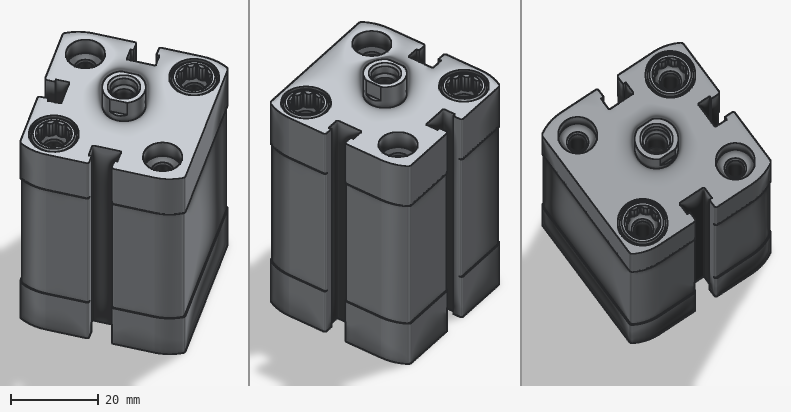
import cadquery as cq
import math

TOTAL_HEIGHT = 65.3
ROD_STICK_OUT = 6.2
HOUSING_HEIGHT = TOTAL_HEIGHT - ROD_STICK_OUT
CAP_WIDTH = 39.5
CAP_HALF_WIDTH = CAP_WIDTH / 2
CAP_HEIGHT = 12.0
BARREL_INSET = 0.25

SCREW_OFFSET = 13.0
CAP_ARC_RADIUS = 25.0 / 2
EDGE_RADIUS = 1.0

SLOT_MOUTH_WIDTH = 5.4
SLOT_INNER_WIDTH = 6.9
SLOT_LIP_DEPTH = 2.5
SLOT_DEPTH = 5.75
SLOT_MOUTH_RADIUS = 0.5
SLOT_FLOOR_RADIUS = 0.3
SLOT_ANGLES = (0, 90, 180)

CORNER_SIGNS = ((1, 1), (-1, 1), (-1, -1), (1, -1))
SCREW_HOLE_DIAMETER = 4.1
SCREW_HOLE_RIM_DIAMETER = 5.0
COUNTERBORE_DIAMETER = 9.0
COUNTERBORE_DEPTH = 4.6

HEAD_POCKET_DIAMETER = 11.5
HEAD_DIAMETER = 10.5
HEAD_TOP_DIAMETER = 9.6
HEAD_GROOVE_DEPTH = 1.0
SOCKET_RIM_DIAMETER = 8.35
SOCKET_CREST_DIAMETER = 7.3
SOCKET_ROOT_DIAMETER = 8.1
SOCKET_TEETH = 10
SOCKET_DEPTH = 4.6
TOOTH_CREST_SHARE = 0.35
TOOTH_ROOT_SHARE = 0.15
TOOTH_START_ANGLE = 45.0

ROD_DIAMETER = 10.0
ROD_INSERTION = CAP_HEIGHT
FLAT_HALF_WIDTH = 9.1 / 2
FLAT_HEIGHT = 4.05
ROD_BORE_RIM_DIAMETER = 7.5
ROD_BORE_DIAMETER = 6.4
ROD_BORE_DEPTH = 2.7
ROD_DRILL_DIAMETER = 5.0
ROD_DRILL_DEPTH = 12.0
DRILL_POINT_ANGLE = 118.0


def cone_frustum(bottom_diameter, top_diameter, top_z):
    """45 degree frustum on the Z axis that ends at top_z."""
    height = abs(top_diameter - bottom_diameter) / 2
    cone = cq.Workplane("XY", origin=(0, 0, top_z - height)).circle(bottom_diameter / 2)
    return cone.workplane(offset=height).circle(top_diameter / 2).loft(ruled=True)


def cylinder(diameter, bottom_z, top_z):
    """Cylinder on the Z axis between two heights."""
    return cq.Workplane("XY", origin=(0, 0, bottom_z)).circle(diameter / 2).extrude(top_z - bottom_z)


def prism(inset, bottom_z, height):
    """Block with flat sides and four large corner arcs, every side moved in by inset."""
    half = CAP_HALF_WIDTH - inset
    radius = CAP_ARC_RADIUS - inset
    arc_center_y = half - radius
    end_angle = math.acos((half - SCREW_OFFSET) / radius)
    mid_angle = (end_angle + math.pi / 2) / 2
    end_y = arc_center_y + radius * math.sin(end_angle)
    mid_x = SCREW_OFFSET + radius * math.cos(mid_angle)
    mid_y = arc_center_y + radius * math.sin(mid_angle)
    outline = (
        cq.Workplane("XY", origin=(0, 0, bottom_z))
        .moveTo(half, -end_y)
        .lineTo(half, end_y)
        .threePointArc((mid_x, mid_y), (SCREW_OFFSET, half))
        .lineTo(-SCREW_OFFSET, half)
        .threePointArc((-mid_x, mid_y), (-half, end_y))
        .lineTo(-half, -end_y)
        .threePointArc((-mid_x, -mid_y), (-SCREW_OFFSET, -half))
        .lineTo(SCREW_OFFSET, -half)
        .threePointArc((mid_x, -mid_y), (half, -end_y))
        .close()
    )
    return outline.extrude(height).edges("|Z").edges("<X or >X").fillet(EDGE_RADIUS)


def slot_cutter(inset, bottom_z, height):
    """T-slot with a rounded mouth, open towards +Y."""
    side_y = CAP_HALF_WIDTH - inset
    mouth = SLOT_MOUTH_WIDTH / 2
    inner = SLOT_INNER_WIDTH / 2
    lip_y = CAP_HALF_WIDTH - SLOT_LIP_DEPTH
    floor_y = CAP_HALF_WIDTH - SLOT_DEPTH
    flare = mouth + SLOT_MOUTH_RADIUS
    arc_start_y = side_y - SLOT_MOUTH_RADIUS
    arc_mid_x = flare - SLOT_MOUTH_RADIUS * math.cos(math.pi / 4)
    arc_mid_y = arc_start_y + SLOT_MOUTH_RADIUS * math.sin(math.pi / 4)
    stem = (
        cq.Workplane("XY", origin=(0, 0, bottom_z))
        .moveTo(-mouth, lip_y)
        .lineTo(mouth, lip_y)
        .lineTo(mouth, arc_start_y)
        .threePointArc((arc_mid_x, arc_mid_y), (flare, side_y))
        .lineTo(-flare, side_y)
        .threePointArc((-arc_mid_x, arc_mid_y), (-mouth, arc_start_y))
        .close()
        .extrude(height)
    )
    undercut = (
        cq.Workplane("XY", origin=(0, (lip_y + floor_y) / 2, bottom_z))
        .rect(2 * inner, lip_y - floor_y)
        .extrude(height)
        .edges("|Z and <Y")
        .fillet(SLOT_FLOOR_RADIUS)
    )
    return stem.union(undercut)


def slotted_section(inset, bottom_z, height):
    """One length of the housing with its T-slots."""
    section = prism(inset, bottom_z, height)
    for angle in SLOT_ANGLES:
        section = section.cut(slot_cutter(inset, bottom_z, height).rotate((0, 0, 0), (0, 0, 1), angle))
    return section


def screw_hole(rim_z):
    """Through hole with a countersunk rim at rim_z."""
    hole = cylinder(SCREW_HOLE_DIAMETER, 0, HOUSING_HEIGHT)
    return hole.union(cone_frustum(SCREW_HOLE_DIAMETER, SCREW_HOLE_RIM_DIAMETER, rim_z))


def counterbored_hole():
    floor_z = HOUSING_HEIGHT - COUNTERBORE_DEPTH
    return screw_hole(floor_z).union(cylinder(COUNTERBORE_DIAMETER, floor_z, HOUSING_HEIGHT))


def splined_socket():
    """Socket whose trapezoidal teeth point inwards, with a countersunk rim."""
    pitch = 2 * math.pi / SOCKET_TEETH
    half_crest = pitch * TOOTH_CREST_SHARE / 2
    half_root = pitch * TOOTH_ROOT_SHARE / 2
    crest_radius = SOCKET_CREST_DIAMETER / 2
    root_radius = SOCKET_ROOT_DIAMETER / 2
    points = []
    for tooth in range(SOCKET_TEETH):
        crest_angle = math.radians(TOOTH_START_ANGLE) + tooth * pitch
        root_angle = crest_angle + pitch / 2
        for radius, angle in (
            (crest_radius, crest_angle - half_crest),
            (crest_radius, crest_angle + half_crest),
            (root_radius, root_angle - half_root),
            (root_radius, root_angle + half_root),
        ):
            points.append((radius * math.cos(angle), radius * math.sin(angle)))
    floor_z = HOUSING_HEIGHT - SOCKET_DEPTH
    socket = cq.Workplane("XY", origin=(0, 0, floor_z)).polyline(points).close().extrude(SOCKET_DEPTH)
    return socket.union(cone_frustum(SOCKET_CREST_DIAMETER, SOCKET_RIM_DIAMETER, HOUSING_HEIGHT))


def splined_screw_hole():
    """Groove around a chamfered screw head, its splined socket and the hole through it."""
    floor_z = HOUSING_HEIGHT - HEAD_GROOVE_DEPTH
    chamfer_z = HOUSING_HEIGHT - (HEAD_DIAMETER - HEAD_TOP_DIAMETER) / 2
    head = cylinder(HEAD_DIAMETER, floor_z, chamfer_z)
    head = head.union(cone_frustum(HEAD_DIAMETER, HEAD_TOP_DIAMETER, HOUSING_HEIGHT))
    groove = cylinder(HEAD_POCKET_DIAMETER, floor_z, HOUSING_HEIGHT).cut(head)
    return screw_hole(HOUSING_HEIGHT - SOCKET_DEPTH).union(splined_socket()).union(groove)


def make_housing():
    upper_cap_z = HOUSING_HEIGHT - CAP_HEIGHT
    housing = slotted_section(0, 0, CAP_HEIGHT)
    housing = housing.union(slotted_section(BARREL_INSET, CAP_HEIGHT, upper_cap_z - CAP_HEIGHT))
    housing = housing.union(slotted_section(0, upper_cap_z, CAP_HEIGHT))
    for x_sign, y_sign in CORNER_SIGNS:
        hole = splined_screw_hole() if x_sign == y_sign else counterbored_hole()
        housing = housing.cut(hole.translate((x_sign * SCREW_OFFSET, y_sign * SCREW_OFFSET, 0)))
    return housing.cut(cylinder(ROD_DIAMETER, HOUSING_HEIGHT - ROD_INSERTION, HOUSING_HEIGHT))


def wrench_flat_cutter():
    """Flat on the +Y side that runs out to the rod surface on a 45 degree slope."""
    radius = ROD_DIAMETER / 2
    flat_bottom_z = TOTAL_HEIGHT - FLAT_HEIGHT
    return (
        cq.Workplane("YZ")
        .moveTo(FLAT_HALF_WIDTH, TOTAL_HEIGHT)
        .lineTo(FLAT_HALF_WIDTH, flat_bottom_z)
        .lineTo(radius, flat_bottom_z - (radius - FLAT_HALF_WIDTH))
        .lineTo(radius, TOTAL_HEIGHT)
        .close()
        .extrude(radius, both=True)
    )


def rod_bore():
    """Chamfered bore that narrows to a drilled hole with a pointed end, as one turned shape."""
    rim = ROD_BORE_RIM_DIAMETER / 2
    bore = ROD_BORE_DIAMETER / 2
    drill = ROD_DRILL_DIAMETER / 2
    bore_z = TOTAL_HEIGHT - ROD_BORE_DEPTH
    drill_z = TOTAL_HEIGHT - ROD_DRILL_DEPTH
    point_height = drill / math.tan(math.radians(DRILL_POINT_ANGLE / 2))
    return (
        cq.Workplane("XZ")
        .moveTo(0, TOTAL_HEIGHT)
        .lineTo(rim, TOTAL_HEIGHT)
        .lineTo(bore, TOTAL_HEIGHT - (rim - bore))
        .lineTo(bore, bore_z)
        .lineTo(drill, bore_z - (bore - drill))
        .lineTo(drill, drill_z)
        .lineTo(0, drill_z - point_height)
        .close()
        .revolve(360, (0, 0, 0), (0, 1, 0))
    )


def make_piston_rod():
    rod = cylinder(ROD_DIAMETER, HOUSING_HEIGHT - ROD_INSERTION, TOTAL_HEIGHT)
    for angle in (0, 180):
        rod = rod.cut(wrench_flat_cutter().rotate((0, 0, 0), (0, 0, 1), angle))
    return rod.cut(rod_bore())


housing = make_housing()
piston_rod = make_piston_rod()

result = cq.Compound.makeCompound([housing.val(), piston_rod.val()])